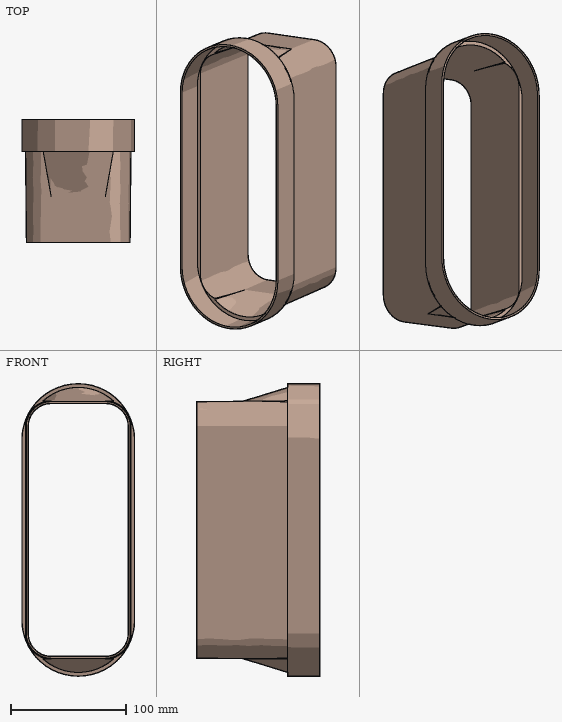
import cadquery as cq
import math

wall = 1.8
total_length = 107.0
collar_width = 98.0
collar_height = 254.0
collar_length = 28.0
mouth_width = 90.2
mouth_height = 222.7
corner_radius = 21.5
draft_offset = 0.8
hood_length = 39.0
hood_step = 3.3
hood_overlap = 5.0

front_y = -total_length / 2
back_y = total_length / 2
collar_y = back_y - collar_length
floor_y = collar_y + wall
hood_y = collar_y - hood_length
arc_centre_z = (collar_height - collar_width) / 2
hood_growth = draft_offset * (hood_y - front_y) / (floor_y - front_y)
hood_radius = collar_width / 2 - hood_step


def section(y):
    """Workplane normal to -Y, so local X and Y are the part's X and Z."""
    return cq.Workplane("XZ", origin=(0, y, 0))


def obround(inset, start_y, end_y):
    """Upright obround prism, inset from the collar's outer surface."""
    return (
        section(end_y)
        .slot2D(collar_height - 2 * inset, collar_width - 2 * inset, 90)
        .extrude(end_y - start_y)
    )


def rounded_rectangle(offset):
    """Duct outline, grown from the mouth size by offset on every side."""
    return (
        cq.Sketch()
        .rect(mouth_width + 2 * offset, mouth_height + 2 * offset)
        .vertices()
        .fillet(corner_radius + offset)
    )


def duct(inset, end_y):
    """Drafted rounded rectangle from the mouth to end_y."""
    mouth = rounded_rectangle(-inset)
    rear = rounded_rectangle(draft_offset - inset)
    rear = rear.moved(cq.Location(cq.Vector(0, 0, front_y - end_y)))
    return section(front_y).placeSketch(mouth, rear).loft(ruled=True)


def hood(inset, end_y):
    """Upper hood narrowing from a collar arc to the duct's flat top edge."""
    radius = hood_radius - inset
    flat_z = mouth_height / 2 + draft_offset - inset
    narrow_z = mouth_height / 2 + hood_growth - inset
    base_z = flat_z - hood_overlap
    arc_half = math.sqrt(radius**2 - (flat_z - arc_centre_z) ** 2)
    flat_half = mouth_width / 2 - corner_radius
    narrow = (
        section(hood_y)
        .moveTo(-flat_half, base_z)
        .lineTo(-flat_half, narrow_z)
        .lineTo(flat_half, narrow_z)
        .lineTo(flat_half, base_z)
        .close()
    )
    return (
        narrow.workplane(offset=hood_y - end_y)
        .moveTo(-arc_half, base_z)
        .lineTo(-arc_half, flat_z)
        .threePointArc((0, arc_centre_z + radius), (arc_half, flat_z))
        .lineTo(arc_half, base_z)
        .close()
        .loft(ruled=True)
    )


def with_mirror(upper):
    """Add the matching lower copy."""
    return upper.union(upper.mirror("XY"))


outside = obround(0, collar_y, back_y)
outside = outside.union(duct(0, floor_y))
outside = outside.union(with_mirror(hood(0, collar_y)))

inside = obround(wall, floor_y, back_y)
inside = inside.union(duct(wall, floor_y))
inside = inside.union(with_mirror(hood(wall, floor_y)))

result = outside.cut(inside)